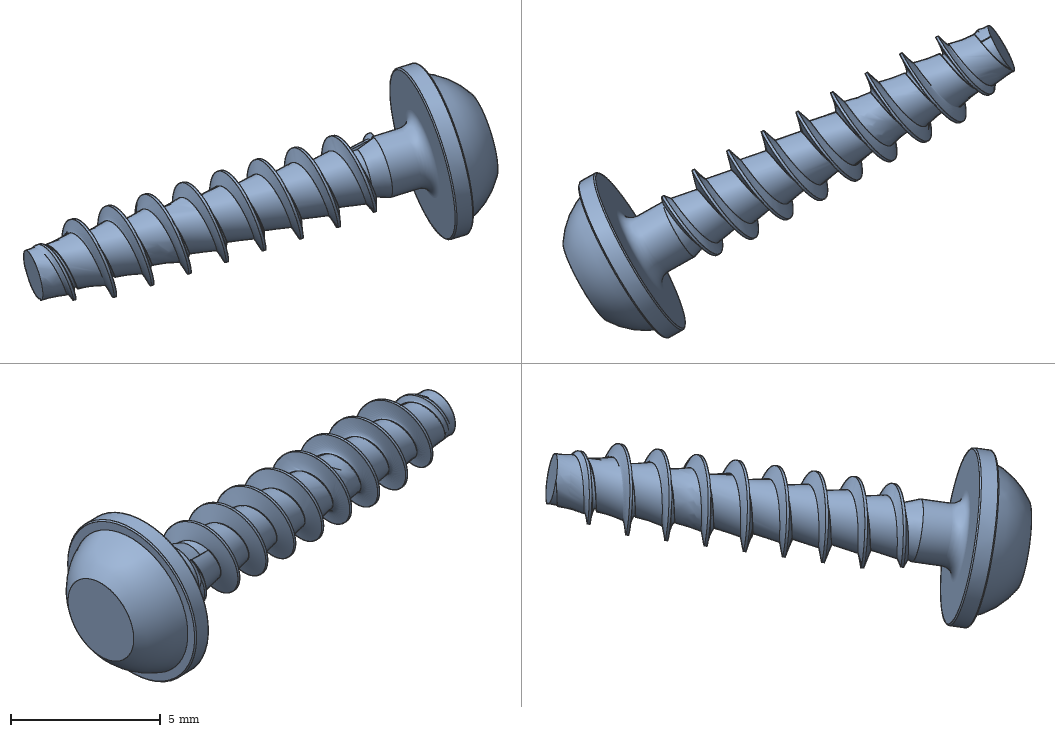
import cadquery as cq
import math

total_length = 16.1

head_height = 2.11
flange_thickness = 0.66
flange_radius = 6.0 / 2
flange_chamfer = 0.05
dome_base_radius = 2.64
dome_top_radius = 1.53

shank_radius = 1.06
neck_fillet = 0.48
shank_length = 1.5
core_radius = 0.84
tip_radius = 0.82
core_cone_length = 0.65
tip_y = head_height - total_length

pitch = 8.05 / 6
crest_y_at_zero = -1.61
crest_radius = 1.5
first_turn = -0.15
last_turn = 9.1
run_in_end = 0.8
run_out_start = 7.75
run_in_radius = 1.19
run_out_radius = 0.85
points_per_turn = 16

crest_half_width = 0.05
fin_base_half_width = 0.21
root_high_radius = 1.03
root_low_radius = 0.87
buried_radius = 0.72
turn_gap = 0.008


def make_body():
    """Revolve the domed head, flange, filleted neck, shank and core."""
    dome_height = head_height - flange_thickness
    centre_y = dome_base_radius**2 - dome_top_radius**2 + flange_thickness**2 - head_height**2
    centre_y /= -2 * dome_height
    sphere_radius = math.hypot(dome_top_radius, head_height - centre_y)
    dome_mid_y = flange_thickness + dome_height / 2
    dome_mid_radius = math.sqrt(sphere_radius**2 - (dome_mid_y - centre_y) ** 2)

    arc_inset = neck_fillet * (1 - math.sqrt(0.5))
    return (
        cq.Workplane("XY")
        .moveTo(0, head_height)
        .lineTo(dome_top_radius, head_height)
        .threePointArc((dome_mid_radius, dome_mid_y), (dome_base_radius, flange_thickness))
        .lineTo(flange_radius - flange_chamfer, flange_thickness)
        .lineTo(flange_radius, flange_thickness - flange_chamfer)
        .lineTo(flange_radius, flange_chamfer)
        .lineTo(flange_radius - flange_chamfer, 0)
        .lineTo(shank_radius + neck_fillet, 0)
        .threePointArc((shank_radius + arc_inset, -arc_inset), (shank_radius, -neck_fillet))
        .lineTo(shank_radius, -shank_length)
        .lineTo(core_radius, -shank_length - core_cone_length)
        .lineTo(tip_radius, tip_y)
        .lineTo(0, tip_y)
        .close()
        .revolve(360, (0, 0, 0), (0, 1, 0))
    )


def crest_at(turn):
    """Crest radius, rising over the run-in and fading over the run-out."""
    if turn < run_in_end:
        share = (turn - first_turn) / (run_in_end - first_turn)
        return run_in_radius + share * (crest_radius - run_in_radius)
    if turn > run_out_start:
        share = (turn - run_out_start) / (last_turn - run_out_start)
        return crest_radius + share * (run_out_radius - crest_radius)
    return crest_radius


def root_at(turn):
    """Radius of the root just behind the fin, fading along with the crest."""
    fade = max(0, (turn - run_out_start) / (last_turn - run_out_start))
    return root_high_radius + fade * (root_low_radius - root_high_radius)


def helix_rail(offset, radius_at):
    """Helical edge shifted towards the tip by offset, with a radius given per turn."""
    steps = math.ceil((last_turn - first_turn) * points_per_turn)
    points = []
    for step in range(steps + 1):
        turn = first_turn + (last_turn - first_turn) * step / steps
        angle = 2 * math.pi * turn
        radius = radius_at(turn)
        y = crest_y_at_zero - pitch * turn - offset
        points.append(cq.Vector(-radius * math.cos(angle), y, -radius * math.sin(angle)))
    return cq.Edge.makeSpline(points)


def buried(turn):
    return buried_radius


def root_low(turn):
    return root_low_radius


def make_thread():
    """Solid bounded by ruled faces between the helical edges of the thread section."""
    root_end = pitch - fin_base_half_width - turn_gap
    rails = [
        helix_rail(-fin_base_half_width, buried),
        helix_rail(-fin_base_half_width, root_low),
        helix_rail(-crest_half_width, crest_at),
        helix_rail(crest_half_width, crest_at),
        helix_rail(fin_base_half_width, root_at),
        helix_rail(root_end, root_low),
        helix_rail(root_end, buried),
    ]
    faces = [cq.Face.makeRuledSurface(a, b) for a, b in zip(rails, rails[1:] + rails[:1])]
    for end in (0, 1):
        corners = [rail.positionAt(end) for rail in rails]
        faces.append(cq.Face.makeFromWires(cq.Wire.makePolygon(corners, close=True)))
    thread = cq.Workplane(cq.Solid.makeSolid(cq.Shell.makeShell(faces)))

    thread_space = (
        cq.Workplane("XZ", origin=(0, -shank_length, 0))
        .circle(flange_radius)
        .extrude(-shank_length - tip_y)
    )
    return thread.intersect(thread_space)


result = make_body().union(make_thread())